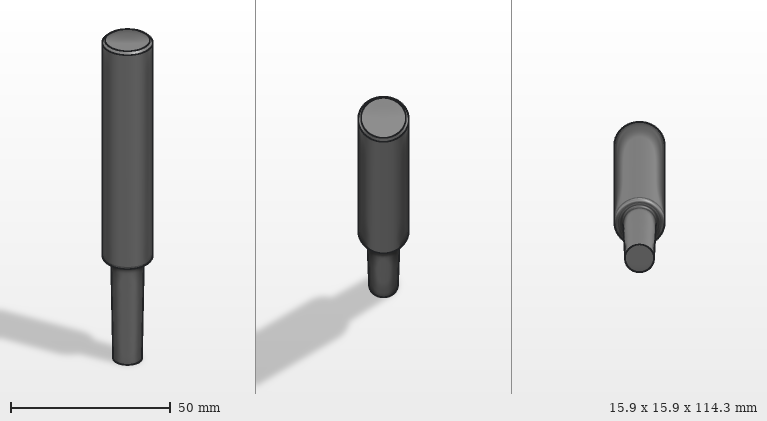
import cadquery as cq
import math

total_length = 114.3
shank_radius = 15.9 / 2
top_chamfer = 0.9

shank_bottom = 37.1
shoulder_round = 1.3
shoulder_bottom = shank_bottom - shoulder_round
shoulder_radius = shank_radius - shoulder_round
neck_fillet = 0.8

pin_tip_radius = 4.6
pin_taper_angle = 1.0
neck_height = shoulder_bottom - neck_fillet
neck_radius = pin_tip_radius + neck_height * math.tan(math.radians(pin_taper_angle))

fillet_offset = neck_fillet * (1 - math.sqrt(0.5))
fillet_outer_radius = neck_radius + neck_fillet
fillet_middle = (neck_radius + fillet_offset, shoulder_bottom - fillet_offset)

round_offset = shoulder_round * (1 - math.sqrt(0.5))
round_middle = (shank_radius - round_offset, shoulder_bottom + round_offset)

profile = (
    cq.Workplane("XZ")
    .moveTo(0, 0)
    .lineTo(pin_tip_radius, 0)
    .lineTo(neck_radius, neck_height)
    .threePointArc(fillet_middle, (fillet_outer_radius, shoulder_bottom))
    .lineTo(shoulder_radius, shoulder_bottom)
    .threePointArc(round_middle, (shank_radius, shank_bottom))
    .lineTo(shank_radius, total_length - top_chamfer)
    .lineTo(shank_radius - top_chamfer, total_length)
    .lineTo(0, total_length)
    .close()
)

result = profile.revolve(360, (0, 0, 0), (0, 1, 0))